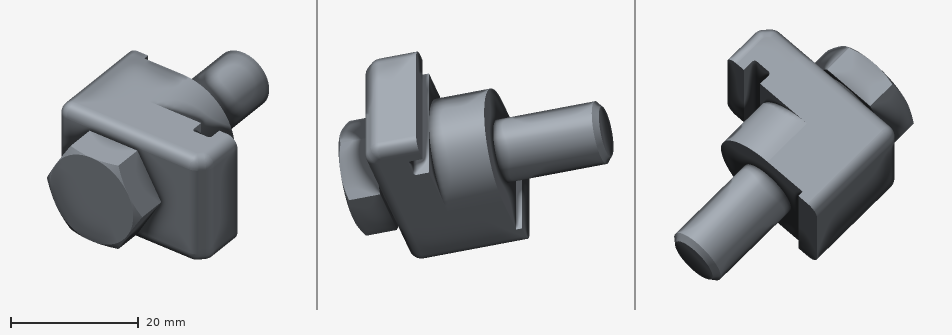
import cadquery as cq
import math

bolt_length = 41.4
head_flats = 16.0
head_height = 5.8
head_chamfer_angle = 30.0
collar_diameter = 14.7
shank_radius = 5.0
tip_chamfer_length = 0.85
tip_chamfer_depth = 1.0

block_height = 20.0
block_left = -11.45
block_right = 17.0
block_front = 6.38
lip_back = 25.4
lip_right = -7.5
seat_back = 24.43
arm_back = 15.4
edge_radius = 2.0
nose_chamfer = 2.0

boss_radius = block_height / 2
groove_right = 13.5
groove_floor = 12.95
groove_radius = 0.5


def box_between(x_min, x_max, y_min, y_max):
    """Full-height box, centred on the bolt axis in Z."""
    return (
        cq.Workplane("XY")
        .box(x_max - x_min, y_max - y_min, block_height, centered=(False, False, True))
        .translate((x_min, y_min, 0))
    )


def cylinder_along_y(radius, y_min, y_max):
    return cq.Workplane("XZ", origin=(0, y_min, 0)).circle(radius).extrude(y_min - y_max)


def make_block():
    blank = box_between(block_left, block_right, block_front, lip_back)
    blank = blank.edges("|Z and >X and <Y").chamfer(nose_chamfer)
    rim = blank.faces("<Z or >Z").edges("not >Y")
    front_corners = blank.edges("|Z").edges("not >Y")
    blank = blank.newObject(rim.vals() + front_corners.vals()).fillet(edge_radius)

    blank = blank.cut(box_between(lip_right, block_right, seat_back, lip_back))
    blank = blank.cut(box_between(0, block_right, arm_back, seat_back))
    boss = cylinder_along_y(boss_radius, arm_back, seat_back)

    groove = box_between(boss_radius, groove_right, groove_floor, lip_back)
    groove = groove.edges("|Z and <Y").fillet(groove_radius)
    return blank.union(boss).cut(groove)


def make_head():
    corner_radius = head_flats / 2 / math.cos(math.radians(30))
    flat_radius = head_flats / 2
    cone_height = (corner_radius - flat_radius) * math.tan(math.radians(head_chamfer_angle))
    hexagon = cq.Workplane("XZ").polygon(6, 2 * corner_radius).extrude(-head_height)
    envelope = (
        cq.Workplane("XY")
        .polyline([
            (0, 0),
            (flat_radius, 0),
            (corner_radius, cone_height),
            (corner_radius, head_height),
            (0, head_height),
        ])
        .close()
        .revolve(360, (0, 0, 0), (0, 1, 0))
    )
    return hexagon.intersect(envelope)


def make_shank():
    shank = cylinder_along_y(shank_radius, head_height, bolt_length - tip_chamfer_length)
    tip = (
        cq.Workplane("XY")
        .polyline([
            (0, bolt_length - tip_chamfer_length),
            (shank_radius, bolt_length - tip_chamfer_length),
            (shank_radius - tip_chamfer_depth, bolt_length),
            (0, bolt_length),
        ])
        .close()
        .revolve(360, (0, 0, 0), (0, 1, 0))
    )
    return shank.union(tip)


collar = cylinder_along_y(collar_diameter / 2, head_height, block_front)
result = make_block().union(collar).union(make_head()).union(make_shank())